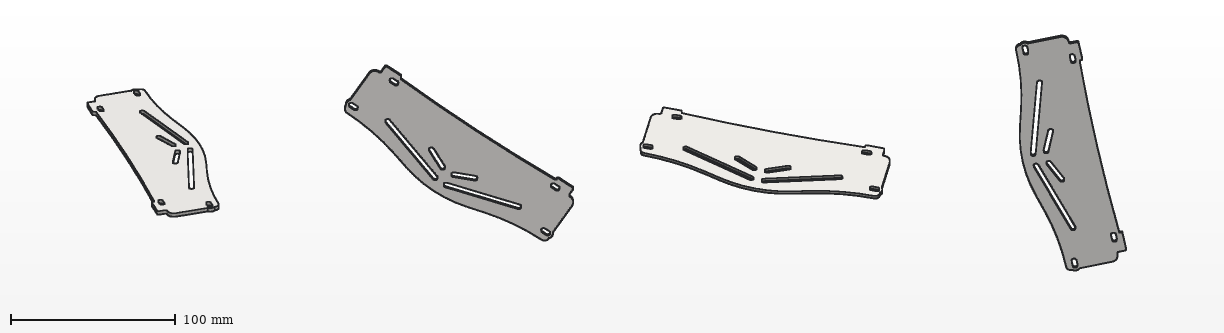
import cadquery as cq
import math

length = 151.0
width = 49.4
thickness = 2.5

side_x = -74.6
shoulder_y = 38.0
crown_radius = 83.0
crown_angle = math.radians(15.5)
flank_end_x = -33.2
lower_corner_y = 5.7
tab_outer_x = -69.2
tab_inner_x = -57.2
tab_step = 1.8
bottom_mid_y = 3.2

shoulder_radius = 2.9
lower_corner_radius = 4.1
tab_root_radius = 1.2
tab_tip_radius = 0.9
tab_step_radius = 0.8

slot_width = 3.0
ear_slot = ((-72.2, 32.5), (-69.2, 32.5))
tab_slot = ((-60.7, 5.6), (-57.8, 5.6))
long_slot = ((-48.2, 28.5), (-4.1, 42.0))
short_slot = ((-16.0, 28.5), (-4.1, 34.0))

ear_radius = length / 2 + ear_slot[0][0]


def make_half_plate():
    """Left half of the plate, with its corners rounded."""
    crown_end_x = -crown_radius * math.sin(crown_angle)
    crown_end_y = width - crown_radius * (1 - math.cos(crown_angle))
    crown_mid_x = -crown_radius * math.sin(crown_angle / 2)
    crown_mid_y = width - crown_radius * (1 - math.cos(crown_angle / 2))
    flank_end_y = crown_end_y + (flank_end_x - crown_end_x) * math.tan(crown_angle)

    rise = bottom_mid_y - tab_step
    bottom_radius = (tab_inner_x**2 + rise**2) / (2 * rise)
    arc_mid_x = tab_inner_x / 2
    arc_mid_y = bottom_mid_y - bottom_radius + math.sqrt(bottom_radius**2 - arc_mid_x**2)

    half = (
        cq.Workplane("XY")
        .moveTo(0, width)
        .threePointArc((crown_mid_x, crown_mid_y), (crown_end_x, crown_end_y))
        .lineTo(flank_end_x, flank_end_y)
        .tangentArcPoint((side_x, shoulder_y), relative=False)
        .lineTo(side_x, lower_corner_y)
        .lineTo(tab_outer_x, lower_corner_y)
        .lineTo(tab_outer_x, 0)
        .lineTo(tab_inner_x, 0)
        .lineTo(tab_inner_x, tab_step)
        .threePointArc((arc_mid_x, arc_mid_y), (0, bottom_mid_y))
        .close()
        .extrude(thickness)
    )

    corners = [
        (side_x, shoulder_y, shoulder_radius),
        (side_x, lower_corner_y, lower_corner_radius),
        (tab_outer_x, lower_corner_y, tab_root_radius),
        (tab_outer_x, 0, tab_tip_radius),
        (tab_inner_x, 0, tab_step_radius),
        (tab_inner_x, tab_step, tab_step_radius),
    ]
    for x, y, radius in corners:
        corner_edge = cq.selectors.NearestToPointSelector((x, y, thickness / 2))
        half = half.edges("|Z").edges(corner_edge).fillet(radius)
    return half


def make_slot(start, end):
    """Through-cutter for a round-ended slot between two end centers."""
    run = end[0] - start[0]
    climb = end[1] - start[1]
    middle = ((start[0] + end[0]) / 2, (start[1] + end[1]) / 2)
    return (
        cq.Workplane("XY")
        .center(*middle)
        .slot2D(math.hypot(run, climb) + slot_width, slot_width, math.degrees(math.atan2(climb, run)))
        .extrude(thickness)
    )


ear = cq.Workplane("XY").center(*ear_slot[0]).circle(ear_radius).extrude(thickness)
half_plate = make_half_plate().union(ear)
for slot_start, slot_end in (ear_slot, tab_slot, long_slot, short_slot):
    half_plate = half_plate.cut(make_slot(slot_start, slot_end))

result = half_plate.union(half_plate.mirror("YZ")).clean()